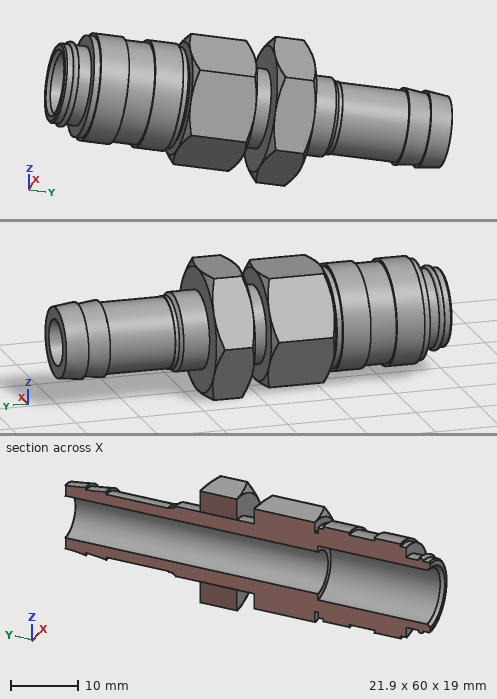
import cadquery as cq
import math

total_length = 60.0

body_hex_flats = 17.05
body_hex_start = 18.95
body_hex_length = 10.0
nut_flats = 19.0
nut_start = 31.8
nut_length = 6.05
hex_chamfer_angle = 30.0
hex_sides = 6

stem_radius = 6.0
mouth_chamfer = 0.25
bead_radius = 0.4
bead_centre = 1.6

sleeve_start = 3.95
sleeve_end = 18.5
sleeve_radius = 7.7
band_radius = 8.1
front_band_start = 4.9
rear_band_start = 13.3
band_length = 4.3
neck_radius = 6.8

stem_end = 41.9
collar_radius = 5.5
collar_cone_end = 42.4
collar_end = 43.0
tail_radius = 5.4
barb_radius = 5.8
barb_length = 3.35
barb_count = 2

through_radius = 3.55
socket_radius = 4.55
socket_depth = sleeve_end
socket_mouth_radius = 5.05
socket_mouth_depth = 0.55


def cylinder(radius, start, length):
    """Cylinder along the Y axis, beginning at y = start."""
    return cq.Workplane("XZ", origin=(0, start, 0)).circle(radius).extrude(-length)


def cone(start_radius, end_radius, start, length):
    """Truncated cone along the Y axis, beginning at y = start."""
    return revolve_profile(
        [(0, start), (start_radius, start), (end_radius, start + length), (0, start + length)]
    )


def revolve_profile(points):
    """Solid of revolution about Y from (radius, y) points."""
    return cq.Workplane("XY").polyline(points).close().revolve(360, (0, 0, 0), (0, 1, 0))


def chamfered_hexagon(flats, start, length):
    """Hexagonal prism whose corners are turned off conically at both ends."""
    flat_radius = flats / 2
    corner_radius = flat_radius / math.cos(math.pi / hex_sides)
    corner_drop = (corner_radius - flat_radius) * math.tan(math.radians(hex_chamfer_angle))
    end = start + length
    prism = (
        cq.Workplane("XZ", origin=(0, start, 0))
        .polygon(hex_sides, 2 * corner_radius)
        .extrude(-length)
    )
    envelope = revolve_profile(
        [
            (0, start),
            (flat_radius, start),
            (corner_radius, start + corner_drop),
            (corner_radius, end - corner_drop),
            (flat_radius, end),
            (0, end),
        ]
    )
    return prism.intersect(envelope)


def make_stem():
    """Stem from the mouth to the hose collar, with a rounded bead near the mouth."""
    stem = cylinder(stem_radius, 0, stem_end).faces("<Y").chamfer(mouth_chamfer)
    bead = (
        cq.Workplane("XY")
        .center(stem_radius, bead_centre)
        .circle(bead_radius)
        .revolve(360, (-stem_radius, 0, 0), (-stem_radius, 1, 0))
    )
    return stem.union(bead)


def make_sleeve():
    """Gripping sleeve and the narrower neck that joins it to the hexagon."""
    sleeve = cylinder(sleeve_radius, sleeve_start, sleeve_end - sleeve_start)
    for band_start in (front_band_start, rear_band_start):
        sleeve = sleeve.union(cylinder(band_radius, band_start, band_length))
    neck = cylinder(neck_radius, sleeve_end, body_hex_start - sleeve_end)
    return sleeve.union(neck)


def make_hose_tail():
    """Collar, plain tail and barbs that taper towards the hose end."""
    tail = cylinder(tail_radius, stem_end, total_length - stem_end)
    tail = tail.union(cone(stem_radius, collar_radius, stem_end, collar_cone_end - stem_end))
    tail = tail.union(cylinder(collar_radius, collar_cone_end, collar_end - collar_cone_end))
    for index in range(barb_count):
        barb_start = total_length - (index + 1) * barb_length
        tail = tail.union(cone(barb_radius, tail_radius, barb_start, barb_length))
    return tail


def make_passage():
    """Stepped bore: a wide chamfered socket followed by a narrower through hole."""
    passage = cylinder(through_radius, 0, total_length)
    passage = passage.union(cylinder(socket_radius, 0, socket_depth))
    return passage.union(cone(socket_mouth_radius, socket_radius, 0, socket_mouth_depth))


def make_coupling():
    """Quick coupling body with its hexagon, sleeve and hose tail."""
    return (
        make_stem()
        .union(make_sleeve())
        .union(chamfered_hexagon(body_hex_flats, body_hex_start, body_hex_length))
        .union(make_hose_tail())
        .cut(make_passage())
    )


def make_lock_nut():
    """Bulkhead nut that fits on the stem."""
    nut = chamfered_hexagon(nut_flats, nut_start, nut_length)
    return nut.cut(cylinder(stem_radius, nut_start, nut_length))


coupling = make_coupling()
lock_nut = make_lock_nut()

result = cq.Compound.makeCompound([coupling.solids().val(), lock_nut.solids().val()])